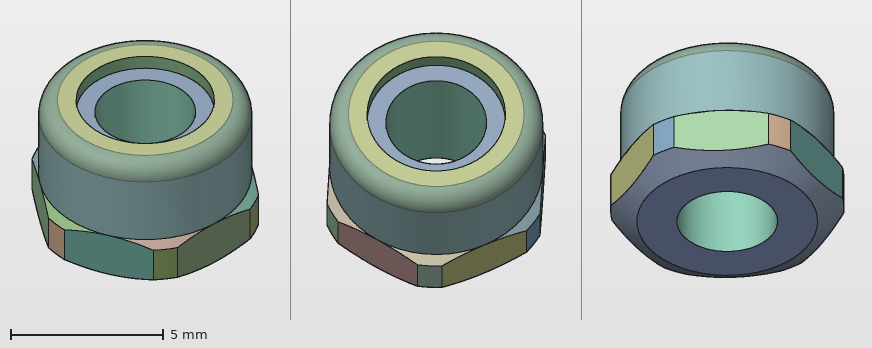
import cadquery as cq
import math

corner_diameter = 7.66
across_flats = 7.0
total_height = 5.0
hex_height = 1.945
top_rounding = 0.62
bore_diameter = 3.3
recess_diameter = 4.535
recess_depth = 0.5
bottom_face_radius = 2.965
chamfer_angle = 30.0

corner_radius = corner_diameter / 2
body_radius = across_flats / 2
chamfer_slope = math.tan(math.radians(chamfer_angle))
bottom_chamfer_height = (corner_radius - bottom_face_radius) * chamfer_slope
top_chamfer_height = (corner_radius - body_radius) * chamfer_slope


def hex_collar():
    """Hexagon with flats facing +Y and -Y, its corners turned and chamfered."""
    across_corners = across_flats / math.cos(math.pi / 6)
    hexagon = cq.Workplane("XY").polygon(6, across_corners).extrude(hex_height)
    turned_envelope = (
        cq.Workplane("XZ")
        .polyline([
            (0, 0),
            (bottom_face_radius, 0),
            (corner_radius, bottom_chamfer_height),
            (corner_radius, hex_height - top_chamfer_height),
            (body_radius, hex_height),
            (0, hex_height),
        ])
        .close()
        .revolve(360, (0, 0), (0, 1))
    )
    return hexagon.intersect(turned_envelope)


def round_body():
    """Cylinder above the collar with a rounded top edge."""
    return (
        cq.Workplane("XY", origin=(0, 0, hex_height))
        .circle(body_radius)
        .extrude(total_height - hex_height)
        .faces(">Z")
        .edges()
        .fillet(top_rounding)
    )


result = (
    hex_collar()
    .union(round_body())
    .faces(">Z")
    .workplane(origin=(0, 0, total_height))
    .cboreHole(bore_diameter, recess_diameter, recess_depth)
)